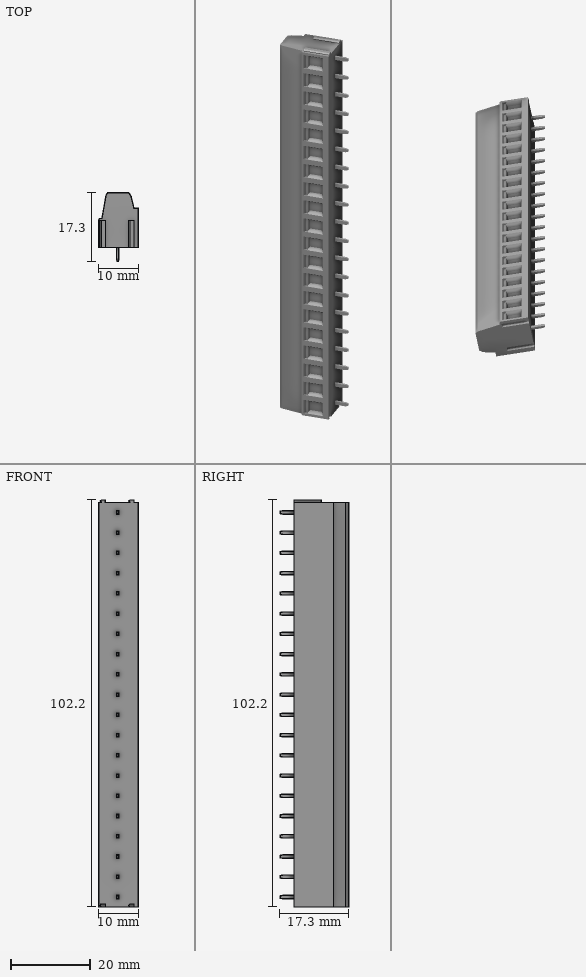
import cadquery as cq

pole_count = 20
body_length = 101.6
rib_height = 0.6
pole_pitch = body_length / pole_count

wire_side_x = -4.8
back_side_x = 5.2
body_height = 13.8
shoulder_start_y = 7.0
shoulder_y = 7.4
shoulder_bevel_x = -4.5
wire_slope_foot_x = -4.0
back_shoulder_y = 9.9
back_slope_foot_x = 4.1
wire_crown_edge = (-3.0, 13.1)
back_crown_edge = (3.4, 12.9)
crown_top_x = (-2.6, 2.8)

rib_left_edges = (-4.4, 2.8)
rib_width = 1.3
rib_flank_inset = 0.3
rib_length = 6.8
groove_depth = 0.8

funnel_mouth_y = (1.5, 5.8)
funnel_floor_y = (2.1, 5.3)
funnel_mouth_width = 3.7
funnel_floor_width = 2.5
funnel_depth = 1.0
relief_end_y = 6.6
relief_ramp = 0.4
relief_depth = 0.5

pin_width = 0.6
pin_thickness = 0.9
pin_length = 3.5
pin_tip_length = 0.7
pin_tip_scale = 0.7
pin_root = 0.5


def make_housing():
    """Extrude the stepped and tapered housing profile along Z."""
    return (
        cq.Workplane("XY")
        .moveTo(wire_side_x, 0)
        .lineTo(wire_side_x, shoulder_start_y)
        .lineTo(shoulder_bevel_x, shoulder_y)
        .lineTo(wire_slope_foot_x, shoulder_y)
        .lineTo(*wire_crown_edge)
        .lineTo(crown_top_x[0], body_height)
        .lineTo(crown_top_x[1], body_height)
        .lineTo(*back_crown_edge)
        .lineTo(back_slope_foot_x, back_shoulder_y)
        .lineTo(back_side_x, back_shoulder_y)
        .lineTo(back_side_x, 0)
        .close()
        .extrude(body_length)
    )


def make_rib(left_x, base_z, height):
    """Make a rib along Y with a pointed -X flank and an upright +X flank."""
    right_x = left_x + rib_width
    inset_x = left_x + rib_flank_inset
    return (
        cq.Workplane("XZ")
        .moveTo(inset_x, base_z)
        .lineTo(left_x, base_z + height / 2)
        .lineTo(inset_x, base_z + height)
        .lineTo(right_x, base_z + height)
        .lineTo(right_x, base_z)
        .close()
        .extrude(-rib_length)
    )


def make_funnel(center_z):
    """Make the tapered cutter for one wire entry, opening towards -X."""
    mouth_height = funnel_mouth_y[1] - funnel_mouth_y[0]
    floor_height = funnel_floor_y[1] - funnel_floor_y[0]
    mouth_center_y = sum(funnel_mouth_y) / 2
    floor_center_y = sum(funnel_floor_y) / 2
    return (
        cq.Workplane("YZ", origin=(wire_side_x, mouth_center_y, center_z))
        .rect(mouth_height, funnel_mouth_width)
        .workplane(offset=funnel_depth)
        .center(floor_center_y - mouth_center_y, 0)
        .rect(floor_height, funnel_floor_width)
        .loft(ruled=True)
    )


def make_relief(center_z):
    """Make the cutter for the shallow step that ramps up above one funnel."""
    return (
        cq.Workplane("XY", origin=(0, 0, center_z - funnel_mouth_width / 2))
        .moveTo(wire_side_x, funnel_mouth_y[1] - relief_ramp)
        .lineTo(wire_side_x, relief_end_y)
        .lineTo(wire_side_x + relief_depth, relief_end_y - relief_ramp)
        .lineTo(wire_side_x + relief_depth, funnel_mouth_y[1])
        .close()
        .extrude(funnel_mouth_width)
    )


def make_pin(center_z):
    """Make one rectangular solder pin with a tapered tip, pointing towards -Y."""
    shank_length = pin_length - pin_tip_length
    shank = (
        cq.Workplane("XZ", origin=(0, pin_root, center_z))
        .rect(pin_width, pin_thickness)
        .extrude(pin_root + shank_length)
    )
    tip = (
        cq.Workplane("XZ", origin=(0, -shank_length, center_z))
        .rect(pin_width, pin_thickness)
        .workplane(offset=pin_tip_length)
        .rect(pin_width * pin_tip_scale, pin_thickness * pin_tip_scale)
        .loft(ruled=True)
    )
    return shank.union(tip)


result = make_housing()

for rib_left_x in rib_left_edges:
    result = result.union(make_rib(rib_left_x, body_length, rib_height))
    result = result.cut(make_rib(rib_left_x, 0, groove_depth))

for pole in range(pole_count):
    pole_z = (pole + 0.5) * pole_pitch
    result = result.cut(make_funnel(pole_z)).cut(make_relief(pole_z))
    result = result.union(make_pin(pole_z))